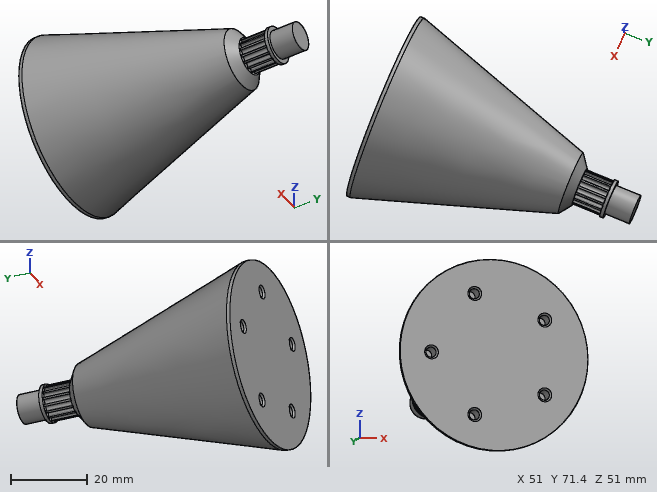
import cadquery as cq
import math

total_length = 71.4
rim_length = 1.0
cone_length = 52.1
shoulder_length = 2.5
grip_length = 7.85
flange_length = 1.0

base_diameter = 51.0
cone_top_diameter = 17.3
flange_diameter = 10.5
grip_diameter = 9.7
pin_diameter = 8.1

groove_count = 16
rib_width = 0.6
groove_arc_center_radius = 4.5

hole_count = 5
hole_circle_diameter = 34.0
hole_diameter = 2.7
countersink_diameter = 3.7
countersink_depth = 0.5
hole_depth = 5.0

cone_end = rim_length + cone_length
grip_start = cone_end + shoulder_length
flange_start = grip_start + grip_length
flange_end = flange_start + flange_length


def copies_around_axis(tool, count):
    """Evenly spaced copies of a cutting tool around the Y axis."""
    copies = cq.Workplane("XY")
    for index in range(count):
        copies = copies.add(tool.rotate((0, 0, 0), (0, 1, 0), index * 360 / count))
    return copies.combine()


def turned_body():
    """Cone, shoulder, plain grip, flange and pin as one revolved half profile."""
    profile = [
        (0, 0),
        (base_diameter / 2, 0),
        (base_diameter / 2, rim_length),
        (cone_top_diameter / 2, cone_end),
        (flange_diameter / 2, grip_start),
        (grip_diameter / 2, grip_start),
        (grip_diameter / 2, flange_start),
        (flange_diameter / 2, flange_start),
        (flange_diameter / 2, flange_end),
        (pin_diameter / 2, flange_end),
        (pin_diameter / 2, total_length),
        (0, total_length),
    ]
    return cq.Workplane("XY").polyline(profile).close().revolve(360, (0, 0, 0), (0, 1, 0))


def grip_grooves():
    """Round-bottomed grooves between shoulder and flange; one lies on the +Z side."""
    half_pitch = math.pi / groove_count
    arc_radius = groove_arc_center_radius * math.sin(half_pitch) - rib_width / 2
    wall_start_x = arc_radius * math.cos(half_pitch)
    wall_start_z = groove_arc_center_radius - arc_radius * math.sin(half_pitch)
    wall_end_z = flange_diameter / 2
    wall_end_x = wall_start_x + (wall_end_z - wall_start_z) * math.tan(half_pitch)
    groove = (
        cq.Workplane("XZ", origin=(0, grip_start, 0))
        .moveTo(-wall_end_x, wall_end_z)
        .lineTo(-wall_start_x, wall_start_z)
        .threePointArc((0, groove_arc_center_radius - arc_radius), (wall_start_x, wall_start_z))
        .lineTo(wall_end_x, wall_end_z)
        .close()
        .extrude(-grip_length)
    )
    return copies_around_axis(groove, groove_count)


def front_holes():
    """Blind holes with conical mouths on a circle; one lies on the -X side."""
    hole_profile = [
        (0, 0),
        (countersink_diameter / 2, 0),
        (hole_diameter / 2, countersink_depth),
        (hole_diameter / 2, hole_depth),
        (0, hole_depth),
    ]
    hole = cq.Workplane("XY").polyline(hole_profile).close().revolve(360, (0, 0, 0), (0, 1, 0))
    first_hole = hole.translate((-hole_circle_diameter / 2, 0, 0))
    return copies_around_axis(first_hole, hole_count)


result = turned_body().cut(grip_grooves()).cut(front_holes())